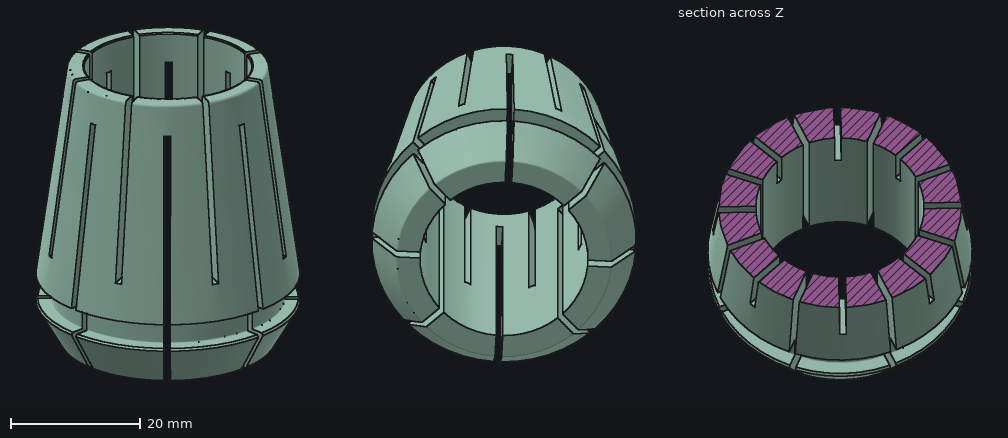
import cadquery as cq
import math

height = 46.0
max_radius = 20.5
bore_radius = 13.0
bore_edge_chamfer = 0.2

taper_angle = 8.0
taper_start_z = 11.1
nose_fillet = 0.5

groove_radius = 18.1
groove_root_fillet = 0.2
base_edge_fillet = 0.3
groove_floor_z = 7.0
rim_z = 6.65
rim_bevel_width = 0.3
lower_cone_angle = 30.0

slots_per_end = 8
slot_width = 1.0
bottom_slot_end_z = 41.0
top_slot_end_z = 17.0
cutter_overrun = 1.0


def cone_radius(distance, angle):
    """Radius of a cone that narrows from the largest radius over an axial distance."""
    return max_radius - distance * math.tan(math.radians(angle))


def make_body():
    """Revolve the sleeve section and ease its end edges."""
    base_radius = cone_radius(rim_z, lower_cone_angle)
    nose_radius = cone_radius(height - taper_start_z, taper_angle)
    section = [
        (bore_radius, 0),
        (base_radius, 0),
        (max_radius, rim_z),
        (max_radius - rim_bevel_width, groove_floor_z),
        (groove_radius, groove_floor_z),
        (groove_radius, taper_start_z),
        (max_radius, taper_start_z),
        (nose_radius, height),
        (bore_radius, height),
    ]
    body = cq.Workplane("XZ").polyline(section).close().revolve(360, (0, 0, 0), (0, 1, 0))
    groove_edge_rank = 3
    body = body.edges(cq.selectors.RadiusNthSelector(groove_edge_rank)).fillet(groove_root_fillet)
    body = body.faces("<Z").edges(cq.selectors.RadiusNthSelector(-1)).fillet(base_edge_fillet)
    body = body.faces(">Z").edges(cq.selectors.RadiusNthSelector(-1)).fillet(nose_fillet)
    return body.faces(">Z").edges(cq.selectors.RadiusNthSelector(0)).chamfer(bore_edge_chamfer)


def make_slots(start_z, end_z, first_angle):
    """Evenly spaced radial slot cutters between two heights."""
    cutter = (
        cq.Workplane("XY", origin=(0, 0, start_z))
        .rect(2 * (max_radius + cutter_overrun), slot_width)
        .extrude(end_z - start_z)
    )
    pitch = 360 / slots_per_end
    cutters = cq.Workplane("XY")
    for index in range(slots_per_end // 2):
        angle = first_angle + index * pitch
        cutters = cutters.add(cutter.rotate((0, 0, 0), (0, 0, 1), angle))
    return cutters.combine()


bottom_slots = make_slots(0, bottom_slot_end_z, 0)
top_slots = make_slots(top_slot_end_z, height, 180 / slots_per_end)
result = make_body().cut(bottom_slots).cut(top_slots)